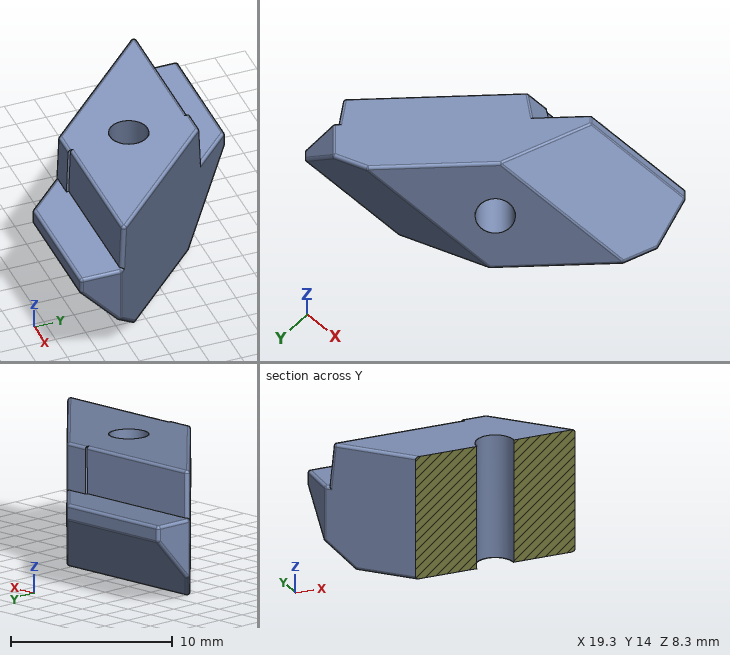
import cadquery as cq

length = 19.3
width = 14.0
height = 8.3
end_face_width = 2.75
edge_radius = 0.2

bottom_width = 5.95
wing_bottom_z = 4.36
wing_top_z = 5.37

neck_base_width = 8.5
neck_top_width = 8.07
pad_step = 0.15
pad_base_end = 0.65
pad_top_end = 0.4

hole_diameter = 2.49

half_length = length / 2
half_width = width / 2

diagonal_x = half_length - half_width + end_face_width

neck_root_z = wing_top_z - edge_radius

pad_overlap = 3 * edge_radius


def plan_prism():
    """Six-sided plan: a rectangle with two opposite corners cut at 45 degrees."""
    corner_y = half_width - end_face_width
    cut = corner_y + half_width
    return (
        cq.Workplane("XY")
        .moveTo(-half_length, corner_y)
        .lineTo(-half_length, half_width)
        .lineTo(half_length - cut, half_width)
        .lineTo(half_length, -corner_y)
        .lineTo(half_length, -half_width)
        .lineTo(cut - half_length, -half_width)
        .close()
        .extrude(height)
    )


def wings():
    """Wide lower body with sloping undersides, rounded on every edge."""
    right_side = [
        (bottom_width / 2, 0),
        (half_width, wing_bottom_z),
        (half_width, wing_top_z),
    ]
    left_side = [(-y, z) for y, z in reversed(right_side)]
    bar = cq.Workplane("YZ").polyline(right_side + left_side).close().extrude(half_length, both=True)
    return bar.intersect(plan_prism()).edges().fillet(edge_radius)


def at_neck_root(base_value, top_value):
    """Extend a straight taper from the wing top down to the neck root."""
    slope = (top_value - base_value) / (height - wing_top_z)
    return base_value + slope * (neck_root_z - wing_top_z)


def rounded_neck(extra):
    """Slanted block with leaning sides, moved outward by extra; rounded except at its root."""
    root_y = at_neck_root(neck_base_width / 2, neck_top_width / 2) + extra
    top_y = neck_top_width / 2 + extra
    right_side = [(root_y, neck_root_z), (top_y, height)]
    left_side = [(-y, z) for y, z in reversed(right_side)]
    bar = cq.Workplane("YZ").polyline(right_side + left_side).close().extrude(length, both=True)
    diagonal_band = (
        cq.Workplane("XY")
        .polyline(
            [
                (-diagonal_x - width, width),
                (diagonal_x - width, width),
                (diagonal_x + width, -width),
                (-diagonal_x + width, -width),
            ]
        )
        .close()
        .extrude(height)
    )
    return bar.intersect(diagonal_band).edges("not <Z").fillet(edge_radius)


def neck():
    """Neck with a proud pad at the blunt end of each side."""
    inner_y = neck_top_width / 2 - pad_overlap
    root_end = at_neck_root(pad_base_end, pad_top_end)
    pad_zone = (
        cq.Workplane("XZ", origin=(0, -inner_y, 0))
        .polyline([(-length, neck_root_z), (root_end, neck_root_z), (pad_top_end, height), (-length, height)])
        .close()
        .extrude(half_width)
    )
    pad = rounded_neck(pad_step).intersect(pad_zone)
    opposite_pad = pad.rotate((0, 0, 0), (0, 0, 1), 180)
    return rounded_neck(0).union(pad).union(opposite_pad)


hole = cq.Workplane("XY").circle(hole_diameter / 2).extrude(height)
result = wings().union(neck()).cut(hole)